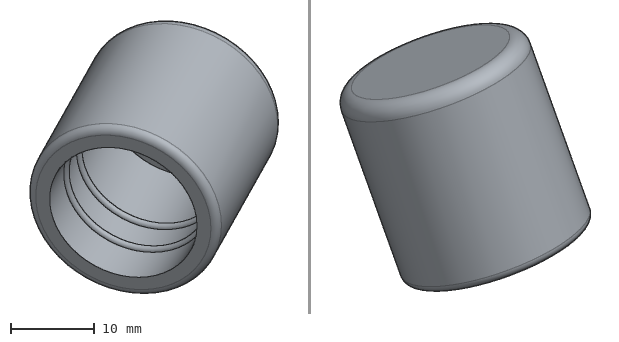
import cadquery as cq

length = 25
outer_diameter = 24
bore_diameter = 18.5
end_wall = (outer_diameter - bore_diameter) / 2
front_round = 1
back_round = 2

bead_radius = 0.5
first_bead_depth = 6
bead_spacing = 5
bead_count = 2

front_y = -length / 2
bore_radius = bore_diameter / 2


def cylinder_from_front(diameter, depth):
    """Cylinder on the Y axis, starting at the open end."""
    front_plane = cq.Workplane("XZ", origin=(0, front_y, 0))
    return front_plane.circle(diameter / 2).extrude(-depth)


def bead(depth):
    """Ring of round section centred on the bore wall, its outer half inside the wall."""
    section = cq.Workplane("XY").center(bore_radius, front_y + depth).circle(bead_radius)
    return section.revolve(360, (-bore_radius, 0), (-bore_radius, 1))


body = cylinder_from_front(outer_diameter, length)
body = body.faces("<Y").edges().fillet(front_round)
body = body.faces(">Y").edges().fillet(back_round)

cap = body.cut(cylinder_from_front(bore_diameter, length - end_wall))

for index in range(bead_count):
    cap = cap.union(bead(first_bead_depth + index * bead_spacing))

result = cap